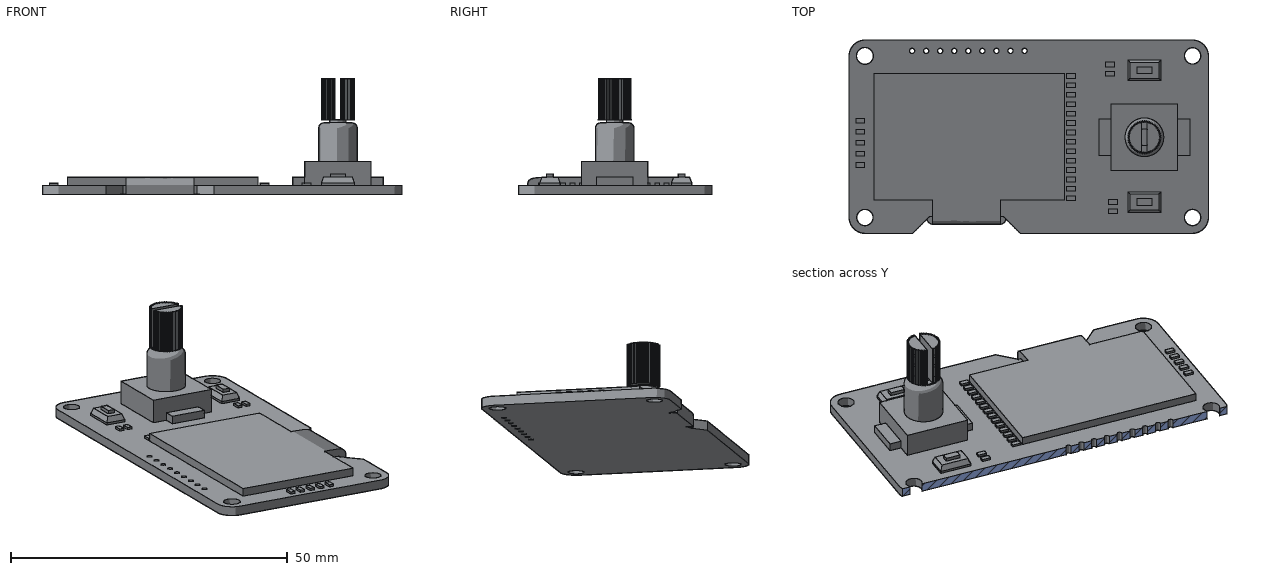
import cadquery as cq
import math


BOARD_LENGTH = 65.0
BOARD_WIDTH = 35.0
BOARD_THICKNESS = 1.7
CORNER_RADIUS = 3.0
MOUNT_HOLE_DIAMETER = 2.9
LOCATING_HOLE_DIAMETER = 3.0
MOUNT_HOLE_INSET = 2.9
PIN_HOLE_DIAMETER = 0.9
PIN_HOLE_COUNT = 9
PIN_PITCH = 2.54
PIN_FIRST_X = 11.42
PIN_ROW_Y = 33.0

NOTCH_CENTER_X = 21.25
NOTCH_DEPTH = 3.1
NOTCH_FLOOR_LENGTH = 13.3

DISPLAY_X = 4.5
DISPLAY_Y = 6.1
DISPLAY_LENGTH = 34.5
DISPLAY_WIDTH = 22.8
DISPLAY_HEIGHT = 1.45
FLEX_WIDTH = 12.3
FLEX_BEND_START_Y = 5.75
FLEX_OUTER_Y = 1.65
FLEX_BEND_TIGHTNESS = 1.2
FLEX_TAIL_LENGTH = 14.4
FLEX_TAIL_THICKNESS = 0.1
FLEX_TAIL_RADIUS = 1.2

CHIP_LENGTH = 1.6
CHIP_WIDTH = 0.85
CHIP_HEIGHT = 0.4
LEFT_CHIP_X = 2.05
LEFT_CHIP_FIRST_Y = 12.4
LEFT_CHIP_PITCH = 2.0
LEFT_CHIP_COUNT = 5
RIGHT_CHIP_X = 40.15
RIGHT_CHIP_FIRST_Y = 6.37
RIGHT_CHIP_PITCH = 1.7
RIGHT_CHIP_COUNT = 14
CHIP_PAIR_SPACING = 1.65
UPPER_PAIR_X = 47.15
UPPER_PAIR_Y = 28.9
LOWER_PAIR_X = 47.75
LOWER_PAIR_Y = 4.05

ENCODER_X = 53.4
ENCODER_Y = 17.4
ENCODER_SIDE = 12.0
ENCODER_BODY_HEIGHT = 4.3
TAB_SPAN = 16.4
TAB_WIDTH = 6.6
TAB_HEIGHT = DISPLAY_HEIGHT
BUSHING_DIAMETER = 7.0
BUSHING_HEIGHT = 7.0
BUSHING_FILLET = 1.0
NECK_DIAMETER = 3.0
NECK_HEIGHT = 0.45
SHAFT_DIAMETER = 6.0
SHAFT_LENGTH = 7.5
SHAFT_SLOT_WIDTH = 1.0
SHAFT_SLOT_FLOOR = 0.1
SERRATION_COUNT = 60
SERRATION_DEPTH = 0.3

BUTTON_LENGTH = 6.0
BUTTON_WIDTH = 3.7
BUTTON_BASE_HEIGHT = 0.4
BUTTON_TAPER_INSET = 0.4
BUTTON_HEIGHT = DISPLAY_HEIGHT
ACTUATOR_LENGTH = 2.7
ACTUATOR_WIDTH = 1.25
ACTUATOR_HEIGHT = 0.6
BUTTON_SPACING = 23.8
BUTTON_MIDDLE_Y = 17.6


def block(length, width, height, x, y, z=BOARD_THICKNESS):
    """A box centred on (x, y) and standing on height z."""
    return cq.Workplane("XY").box(length, width, height, centered=(True, True, False)).translate((x, y, z))


def make_board():
    board = (
        cq.Workplane("XY")
        .box(BOARD_LENGTH, BOARD_WIDTH, BOARD_THICKNESS, centered=False)
        .edges("|Z")
        .fillet(CORNER_RADIUS)
    )
    half_floor = NOTCH_FLOOR_LENGTH / 2
    half_mouth = half_floor + NOTCH_DEPTH
    notch = (
        cq.Workplane("XY")
        .polyline([
            (NOTCH_CENTER_X - half_mouth, 0),
            (NOTCH_CENTER_X - half_floor, NOTCH_DEPTH),
            (NOTCH_CENTER_X + half_floor, NOTCH_DEPTH),
            (NOTCH_CENTER_X + half_mouth, 0),
        ])
        .close()
        .extrude(BOARD_THICKNESS)
    )
    mount_holes = (
        cq.Workplane("XY")
        .center(BOARD_LENGTH / 2, BOARD_WIDTH / 2)
        .rect(BOARD_LENGTH - 2 * MOUNT_HOLE_INSET, BOARD_WIDTH - 2 * MOUNT_HOLE_INSET, forConstruction=True)
        .vertices()
        .circle(MOUNT_HOLE_DIAMETER / 2)
        .extrude(BOARD_THICKNESS)
    )
    pin_holes = (
        cq.Workplane("XY")
        .pushPoints([(PIN_FIRST_X + i * PIN_PITCH, PIN_ROW_Y) for i in range(PIN_HOLE_COUNT)])
        .circle(PIN_HOLE_DIAMETER / 2)
        .extrude(BOARD_THICKNESS)
    )
    locating_hole = (
        cq.Workplane("XY")
        .center(MOUNT_HOLE_INSET, BOARD_WIDTH - MOUNT_HOLE_INSET)
        .circle(LOCATING_HOLE_DIAMETER / 2)
        .extrude(BOARD_THICKNESS)
    )
    return board.cut(notch).cut(mount_holes).cut(locating_hole).cut(pin_holes)


def make_display():
    return block(
        DISPLAY_LENGTH,
        DISPLAY_WIDTH,
        DISPLAY_HEIGHT,
        DISPLAY_X + DISPLAY_LENGTH / 2,
        DISPLAY_Y + DISPLAY_WIDTH / 2,
    )


def make_flex():
    """Cable that leaves the display edge, bends down through the notch and ends in a wider flat tail."""
    top = BOARD_THICKNESS + DISPLAY_HEIGHT
    bend = (
        cq.Workplane("YZ", origin=(NOTCH_CENTER_X - FLEX_WIDTH / 2, 0, 0))
        .moveTo(DISPLAY_Y, BOARD_THICKNESS)
        .lineTo(DISPLAY_Y, top)
        .lineTo(FLEX_BEND_START_Y, top)
        .bezier(
            [
                (FLEX_BEND_START_Y, top),
                (FLEX_OUTER_Y + FLEX_BEND_TIGHTNESS, top),
                (FLEX_OUTER_Y, top),
                (FLEX_OUTER_Y, BOARD_THICKNESS),
            ]
        )
        .lineTo(FLEX_OUTER_Y, 0)
        .lineTo(NOTCH_DEPTH, 0)
        .lineTo(NOTCH_DEPTH, BOARD_THICKNESS)
        .close()
        .extrude(FLEX_WIDTH)
    )
    tail_width = NOTCH_DEPTH - FLEX_OUTER_Y
    tail_y = FLEX_OUTER_Y + tail_width / 2
    tail = (
        block(FLEX_TAIL_LENGTH, tail_width, FLEX_TAIL_THICKNESS, NOTCH_CENTER_X, tail_y, 0)
        .edges("|Z and <Y")
        .fillet(FLEX_TAIL_RADIUS)
    )
    return bend.union(tail)


def make_chips():
    places = [(LEFT_CHIP_X, LEFT_CHIP_FIRST_Y + i * LEFT_CHIP_PITCH) for i in range(LEFT_CHIP_COUNT)]
    places += [(RIGHT_CHIP_X, RIGHT_CHIP_FIRST_Y + i * RIGHT_CHIP_PITCH) for i in range(RIGHT_CHIP_COUNT)]
    for x, y in [(UPPER_PAIR_X, UPPER_PAIR_Y), (LOWER_PAIR_X, LOWER_PAIR_Y)]:
        places += [(x, y), (x, y + CHIP_PAIR_SPACING)]
    return (
        cq.Workplane("XY", origin=(0, 0, BOARD_THICKNESS))
        .pushPoints(places)
        .rect(CHIP_LENGTH, CHIP_WIDTH)
        .extrude(CHIP_HEIGHT)
    )


def make_button(y):
    base = block(BUTTON_LENGTH, BUTTON_WIDTH, BUTTON_BASE_HEIGHT, ENCODER_X, y)
    taper_height = BUTTON_HEIGHT - BUTTON_BASE_HEIGHT
    taper_angle = math.degrees(math.atan2(BUTTON_TAPER_INSET, taper_height))
    cover = (
        cq.Workplane("XY", origin=(ENCODER_X, y, BOARD_THICKNESS + BUTTON_BASE_HEIGHT))
        .rect(BUTTON_LENGTH, BUTTON_WIDTH)
        .extrude(taper_height, taper=taper_angle)
    )
    actuator = block(
        ACTUATOR_LENGTH, ACTUATOR_WIDTH, ACTUATOR_HEIGHT, ENCODER_X, y, BOARD_THICKNESS + BUTTON_HEIGHT
    )
    return base.union(cover).union(actuator)


def make_serrated_shaft(z):
    """Knurled shaft end with V-shaped serrations and a screwdriver slot along Y."""
    tip_radius = SHAFT_DIAMETER / 2
    root_radius = tip_radius - SERRATION_DEPTH
    half_pitch = math.pi / SERRATION_COUNT
    outline = []
    for i in range(2 * SERRATION_COUNT):
        radius = root_radius if i % 2 else tip_radius
        angle = i * half_pitch
        outline.append((radius * math.cos(angle), radius * math.sin(angle)))
    shaft = (
        cq.Workplane("XY", origin=(ENCODER_X, ENCODER_Y, z))
        .polyline(outline)
        .close()
        .extrude(SHAFT_LENGTH)
    )
    slot = block(SHAFT_SLOT_WIDTH, SHAFT_DIAMETER, SHAFT_LENGTH, ENCODER_X, ENCODER_Y, z + SHAFT_SLOT_FLOOR)
    return shaft.cut(slot)


def make_encoder():
    body = block(ENCODER_SIDE, ENCODER_SIDE, ENCODER_BODY_HEIGHT, ENCODER_X, ENCODER_Y)
    tabs = block(TAB_SPAN, TAB_WIDTH, TAB_HEIGHT, ENCODER_X, ENCODER_Y)
    body_top = BOARD_THICKNESS + ENCODER_BODY_HEIGHT
    bushing = (
        cq.Workplane("XY", origin=(ENCODER_X, ENCODER_Y, body_top))
        .circle(BUSHING_DIAMETER / 2)
        .extrude(BUSHING_HEIGHT)
        .faces(">Z")
        .edges()
        .fillet(BUSHING_FILLET)
    )
    bushing_top = body_top + BUSHING_HEIGHT
    neck = (
        cq.Workplane("XY", origin=(ENCODER_X, ENCODER_Y, bushing_top))
        .circle(NECK_DIAMETER / 2)
        .extrude(NECK_HEIGHT)
    )
    shaft = make_serrated_shaft(bushing_top + NECK_HEIGHT)
    return body.union(tabs).union(bushing).union(neck).union(shaft)


result = make_board().union(make_display()).union(make_flex()).union(make_chips()).union(make_encoder())
for side in (-1, 1):
    result = result.union(make_button(BUTTON_MIDDLE_Y + side * BUTTON_SPACING / 2))